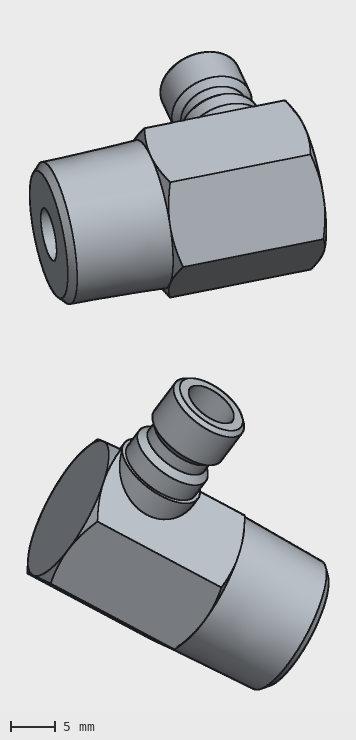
import cadquery as cq
import math

hex_across_flats = 17.0
hex_length = 18.0
hex_chamfer_angle = 30
total_width = 30.15
total_length = 30.0
branch_to_back = 6.12

thread_gauge_radius = 8.32
thread_gauge_length = 5.6
thread_taper = 1 / 16
thread_chamfer = 0.85

bore_radius = 3.0

branch_radius = 4.7
branch_tip_chamfer = 0.5
groove_radius = 3.9
groove_start = 5.8
groove_end = 7.3
collar_radius = 5.18

hex_flat_radius = hex_across_flats / 2
hex_corner_radius = hex_flat_radius / math.cos(math.radians(30))
back_y = branch_to_back
hex_front_y = back_y - hex_length
thread_end_y = back_y - total_length
tip_x = hex_corner_radius - total_width


def revolve_about_y(profile):
    """Revolve (radius, y) points about the main axis."""
    return cq.Workplane("XY").polyline(profile).close().revolve(360, (0, 0), (0, 1))


def make_hex_body():
    prism = (
        cq.Workplane("XZ", origin=(0, back_y, 0))
        .polygon(6, 2 * hex_corner_radius)
        .extrude(hex_length)
    )
    corner_drop = (hex_corner_radius - hex_flat_radius) * math.tan(math.radians(hex_chamfer_angle))
    envelope = revolve_about_y([
        (0, back_y),
        (hex_flat_radius, back_y),
        (hex_corner_radius, back_y - corner_drop),
        (hex_corner_radius, hex_front_y + corner_drop),
        (hex_flat_radius, hex_front_y),
        (0, hex_front_y),
    ])
    return prism.intersect(envelope)


def make_thread():
    """Tapered thread blank with its gauge plane halfway along."""
    gauge_y = hex_front_y - thread_gauge_length
    chamfer_y = thread_end_y + thread_chamfer

    def radius_at(y):
        return thread_gauge_radius + (y - gauge_y) * thread_taper / 2

    return revolve_about_y([
        (0, hex_front_y),
        (radius_at(hex_front_y), hex_front_y),
        (thread_gauge_radius, gauge_y),
        (radius_at(chamfer_y), chamfer_y),
        (radius_at(chamfer_y) - thread_chamfer, thread_end_y),
        (0, thread_end_y),
    ])


def make_branch():
    """Grooved plug with a collar that starts level with the hex corner."""
    groove_depth = branch_radius - groove_radius
    profile = [
        (tip_x, 0),
        (tip_x, branch_radius - branch_tip_chamfer),
        (tip_x + branch_tip_chamfer, branch_radius),
        (tip_x + groove_start - groove_depth, branch_radius),
        (tip_x + groove_start, groove_radius),
        (tip_x + groove_end, groove_radius),
        (tip_x + groove_end + groove_depth, branch_radius),
        (-hex_corner_radius, branch_radius),
        (-hex_corner_radius, collar_radius),
        (0, collar_radius),
        (0, 0),
    ]
    return cq.Workplane("XY").polyline(profile).close().revolve(360, (0, 0), (1, 0))


def make_bores():
    """Two equal bores meeting in an elbow; the main one ends at the far side of the branch bore."""
    main_bore = (
        cq.Workplane("XZ", origin=(0, bore_radius, 0))
        .circle(bore_radius)
        .extrude(bore_radius - thread_end_y)
    )
    branch_bore = cq.Workplane("YZ", origin=(tip_x, 0, 0)).circle(bore_radius).extrude(-tip_x)
    return main_bore.union(branch_bore)


result = make_hex_body().union(make_thread()).union(make_branch()).cut(make_bores())